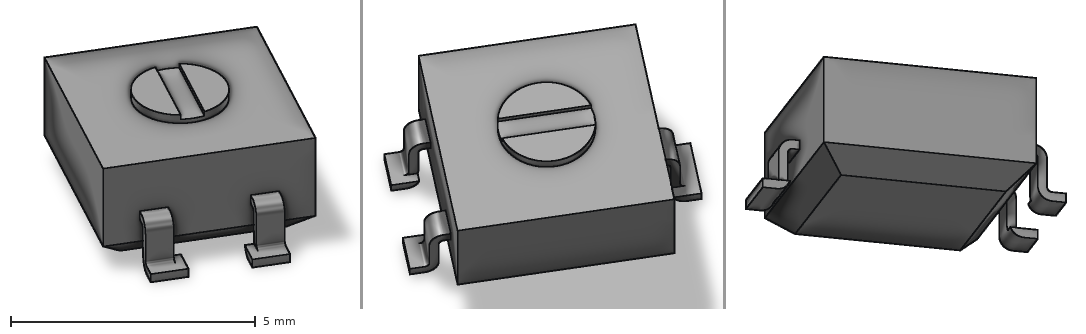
import cadquery as cq
import math

overall_length = 6.2
body_width = 4.5
overall_height = 2.55

disc_diameter = 2.0
disc_height = 0.2
slot_width = 0.5
slot_depth = 0.1

body_height = overall_height - disc_height
taper_height = 0.485
taper_inset = 0.5

strip_thickness = 0.2
inner_bend_radius = 0.1
outer_bend_radius = inner_bend_radius + strip_thickness
terminal_height = 1.2
shank_offset = 0.4

single_width = 0.8
single_foot_width = 1.295
paired_width = 0.6
paired_foot_width = 0.8
paired_outer_edge = 1.475

toe_x = overall_length / 2
body_face_x = body_width / 2
shank_outer_x = toe_x - shank_offset
shank_inner_x = shank_outer_x - strip_thickness
heel_center_x = shank_inner_x + outer_bend_radius
shoulder_center_x = shank_outer_x - outer_bend_radius
shoulder_center_z = terminal_height - outer_bend_radius
diagonal = math.sqrt(0.5)


def on_arc(center_x, center_z, radius, side_x, side_z):
    """Middle point of a quarter bend, towards the given signs in X and Z."""
    return (center_x + side_x * radius * diagonal, center_z + side_z * radius * diagonal)


def extrude_along_y(profile, y_min, y_max):
    """Extrude an XZ profile between two Y positions."""
    return profile.extrude(y_min - y_max).translate((0, y_min, 0))


def make_body():
    taper = (
        cq.Workplane("XY")
        .rect(body_width - 2 * taper_inset, body_width - 2 * taper_inset)
        .workplane(offset=taper_height)
        .rect(body_width, body_width)
        .loft(ruled=True)
    )
    block = (
        cq.Workplane("XY", origin=(0, 0, taper_height))
        .rect(body_width, body_width)
        .extrude(body_height - taper_height)
    )
    return block.union(taper)


def make_disc():
    disc = cq.Workplane("XY", origin=(0, 0, body_height)).circle(disc_diameter / 2).extrude(disc_height)
    slot = (
        cq.Workplane("XY", origin=(0, 0, overall_height - slot_depth))
        .rect(disc_diameter, slot_width)
        .extrude(slot_depth)
    )
    return disc.cut(slot)


def make_terminal(strip_min, strip_max, foot_min, foot_max):
    """Terminal on the +X side: a bent strip with a wider foot, given by their Y extents."""
    strip = (
        cq.Workplane("XZ")
        .moveTo(toe_x, 0)
        .lineTo(toe_x, strip_thickness)
        .lineTo(heel_center_x, strip_thickness)
        .threePointArc(
            on_arc(heel_center_x, outer_bend_radius, inner_bend_radius, -1, -1),
            (shank_outer_x, outer_bend_radius),
        )
        .lineTo(shank_outer_x, shoulder_center_z)
        .threePointArc(
            on_arc(shoulder_center_x, shoulder_center_z, outer_bend_radius, 1, 1),
            (shoulder_center_x, terminal_height),
        )
        .lineTo(body_face_x, terminal_height)
        .lineTo(body_face_x, terminal_height - strip_thickness)
        .lineTo(shoulder_center_x, terminal_height - strip_thickness)
        .threePointArc(
            on_arc(shoulder_center_x, shoulder_center_z, inner_bend_radius, 1, 1),
            (shank_inner_x, shoulder_center_z),
        )
        .lineTo(shank_inner_x, outer_bend_radius)
        .threePointArc(
            on_arc(heel_center_x, outer_bend_radius, outer_bend_radius, -1, -1),
            (heel_center_x, 0),
        )
        .close()
    )
    heel_reach = math.sqrt(outer_bend_radius**2 - inner_bend_radius**2)
    foot = (
        cq.Workplane("XZ")
        .moveTo(toe_x, 0)
        .lineTo(toe_x, strip_thickness)
        .lineTo(heel_center_x - heel_reach, strip_thickness)
        .threePointArc(
            on_arc(heel_center_x, outer_bend_radius, outer_bend_radius, -1, -1),
            (heel_center_x, 0),
        )
        .close()
    )
    return extrude_along_y(strip, strip_min, strip_max).union(extrude_along_y(foot, foot_min, foot_max))


single_terminal = make_terminal(
    -single_width / 2, single_width / 2, -single_foot_width / 2, single_foot_width / 2
).mirror("YZ")

paired_terminal = make_terminal(
    paired_outer_edge - paired_width,
    paired_outer_edge,
    paired_outer_edge - paired_foot_width,
    paired_outer_edge,
)

result = make_body().union(make_disc()).union(single_terminal)
result = result.union(paired_terminal).union(paired_terminal.mirror("XZ"))